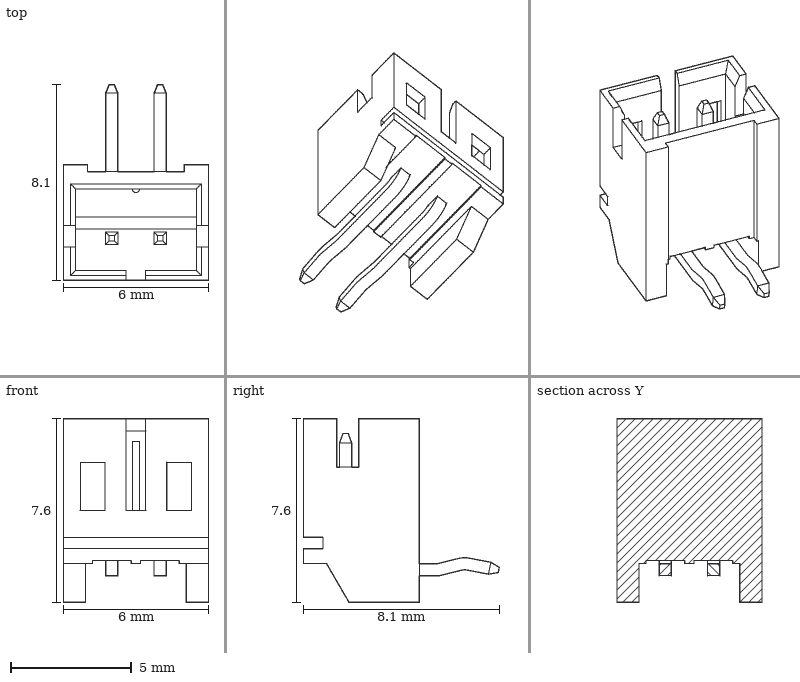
import cadquery as cq
import math


total_length = 8.1
housing_width = 6.0
housing_depth = 4.79
housing_height = 7.6

ledge_bottom_z = 1.6
ledge_depth = 0.95
leg_foot_y = 1.88
leg_width = 0.92
groove_bottom_z = 2.22
groove_height = 0.47
groove_depth = 0.8
back_recess_width = 3.99
back_recess_depth = 0.29

ridge_height = 0.12
side_ridge_width = 1.215
middle_ridge_width = 0.39

cavity_width = 4.99
cavity_front_y = 0.41
cavity_back_y = 3.78
flare = 0.21
flare_height = 0.5
front_floor_z = 3.81
floor_step_y = 2.13
floor_step_run = 0.5
floor_step_drop = 1.02

side_slot_y = 1.385
side_slot_width = 0.89
side_slot_depth = 2.01
front_slot_width = 0.8
window_width = 1.01
window_height = 1.98
window_offset = 1.79

rib_diameter = 0.3
rib_top_z = 6.65

pin_pitch = 2.0
pin_thickness = 0.51
pin_y = 1.74
pin_top_z = 6.98
pin_inner_radius = pin_thickness
tip_length = 0.39
tip_end_size = 0.23
tail_kink_y = 5.57
tail_rise_angle = 14.0
tail_crest_y = 6.63
tail_fall_angle = 10.7

bend_radius = pin_inner_radius + pin_thickness / 2
tail_z = ledge_bottom_z - pin_thickness / 2
underside_z = ledge_bottom_z + ridge_height
back_floor_z = front_floor_z - floor_step_drop


def block(x_size, y_min, y_max, z_min, z_max, x_center=0.0):
    """Box centred on x_center, between the given Y and Z limits."""
    box = cq.Workplane("XY").box(x_size, y_max - y_min, z_max - z_min, centered=(True, False, False))
    return box.translate((x_center, y_min, z_min))


def side_profile(points, width):
    """Prism from a (Y, Z) outline, extruded symmetrically along X."""
    return cq.Workplane("YZ").polyline(points).close().extrude(width / 2, both=True)


def make_shell():
    """Solid housing with its side outline, front groove and back recess."""
    outline = [
        (0, ledge_bottom_z),
        (ledge_depth, ledge_bottom_z),
        (leg_foot_y, 0),
        (housing_depth, 0),
        (housing_depth, housing_height),
        (0, housing_height),
    ]
    groove = block(housing_width, 0, groove_depth, groove_bottom_z, groove_bottom_z + groove_height)
    back_recess = block(
        back_recess_width, housing_depth - back_recess_depth, housing_depth, 0, housing_height
    )
    return side_profile(outline, housing_width).cut(groove).cut(back_recess)


def make_underside_space():
    """Space between the legs and between the standoff ridges."""
    space = block(housing_width - 2 * leg_width, 0, housing_depth, 0, ledge_bottom_z)
    channel_width = housing_width / 2 - side_ridge_width - middle_ridge_width / 2
    channel_center = (middle_ridge_width + channel_width) / 2
    for side in (-1, 1):
        channel = block(channel_width, 0, housing_depth, 0, underside_z, side * channel_center)
        space = space.union(channel)
    return space


def make_cavity():
    """Cavity with a stepped floor and a flared mouth."""
    outline = [
        (cavity_front_y, front_floor_z),
        (floor_step_y, front_floor_z),
        (floor_step_y + floor_step_run, back_floor_z),
        (cavity_back_y, back_floor_z),
        (cavity_back_y, housing_height),
        (cavity_front_y, housing_height),
    ]
    cavity_length = cavity_back_y - cavity_front_y
    mouth = (
        cq.Workplane("XY", origin=(0, (cavity_front_y + cavity_back_y) / 2, housing_height - flare_height))
        .rect(cavity_width, cavity_length)
        .workplane(offset=flare_height)
        .rect(cavity_width + 2 * flare, cavity_length + 2 * flare)
        .loft(ruled=True)
    )
    return side_profile(outline, cavity_width).union(mouth)


def make_wall_openings():
    """Side slots, front slot and the two front windows."""
    openings = block(
        housing_width,
        side_slot_y,
        side_slot_y + side_slot_width,
        housing_height - side_slot_depth,
        housing_height,
    )
    openings = openings.union(
        block(front_slot_width, 0, cavity_front_y + flare, front_floor_z, housing_height)
    )
    for side in (-1, 1):
        window = block(
            window_width,
            0,
            cavity_front_y,
            front_floor_z,
            front_floor_z + window_height,
            side * window_offset,
        )
        openings = openings.union(window)
    return openings


def make_rib():
    """Round rib half sunk in the back wall, standing on the back floor."""
    return (
        cq.Workplane("XY", origin=(0, cavity_back_y, back_floor_z))
        .circle(rib_diameter / 2)
        .extrude(rib_top_z - back_floor_z)
    )


def make_tip(base, direction):
    """Tapered square tip growing from the base point along a direction in the YZ plane."""
    base_plane = cq.Plane(origin=base, xDir=(1, 0, 0), normal=direction)
    return (
        cq.Workplane(base_plane)
        .rect(pin_thickness, pin_thickness)
        .workplane(offset=tip_length)
        .rect(tip_end_size, tip_end_size)
        .loft(ruled=True)
    )


def make_pin(x):
    """Square wire pin: upright contact, round bend, kinked tail and a tapered tip at each end."""
    rise = math.radians(tail_rise_angle)
    fall = math.radians(tail_fall_angle)
    crest_z = tail_z + (tail_crest_y - tail_kink_y) * math.tan(rise)
    crest_trim = bend_radius * math.tan((rise + fall) / 2)
    crest_start = (tail_crest_y - crest_trim * math.cos(rise), crest_z - crest_trim * math.sin(rise))
    crest_center = (
        crest_start[0] + bend_radius * math.sin(rise),
        crest_start[1] - bend_radius * math.cos(rise),
    )
    crest_top = (crest_center[0], crest_center[1] + bend_radius)
    crest_end = (tail_crest_y + crest_trim * math.cos(fall), crest_z - crest_trim * math.sin(fall))

    tip_end_y = total_length - tip_end_size / 2 * math.sin(fall)
    tail_end_y = tip_end_y - tip_length * math.cos(fall)
    tail_end_z = crest_z - (tail_end_y - tail_crest_y) * math.tan(fall)

    shoulder_z = pin_top_z - tip_length
    bend_center = (pin_y + bend_radius, tail_z + bend_radius)
    bend_middle = (
        bend_center[0] - bend_radius * math.sqrt(0.5),
        bend_center[1] - bend_radius * math.sqrt(0.5),
    )
    path = (
        cq.Workplane("YZ", origin=(x, 0, 0))
        .moveTo(pin_y, shoulder_z)
        .lineTo(pin_y, bend_center[1])
        .threePointArc(bend_middle, (bend_center[0], tail_z))
        .lineTo(tail_kink_y, tail_z)
        .lineTo(*crest_start)
        .threePointArc(crest_top, crest_end)
        .lineTo(tail_end_y, tail_end_z)
    )
    wire = (
        cq.Workplane("XY", origin=(x, pin_y, shoulder_z))
        .rect(pin_thickness, pin_thickness)
        .sweep(path, transition="right")
    )
    contact_tip = make_tip((x, pin_y, shoulder_z), (0, 0, 1))
    tail_tip = make_tip((x, tail_end_y, tail_end_z), (0, math.cos(fall), -math.sin(fall)))
    return wire.union(contact_tip).union(tail_tip)


def make_housing(pins):
    """Housing with passages that fit the pins."""
    housing = make_shell().cut(make_underside_space()).cut(make_cavity()).cut(make_wall_openings())
    housing = housing.union(make_rib())
    for pin in pins:
        housing = housing.cut(pin)
    return housing


pins = [make_pin(side * pin_pitch / 2) for side in (-1, 1)]
housing = make_housing(pins)

result = cq.Compound.makeCompound([housing.solids().val(), *[pin.solids().val() for pin in pins]])